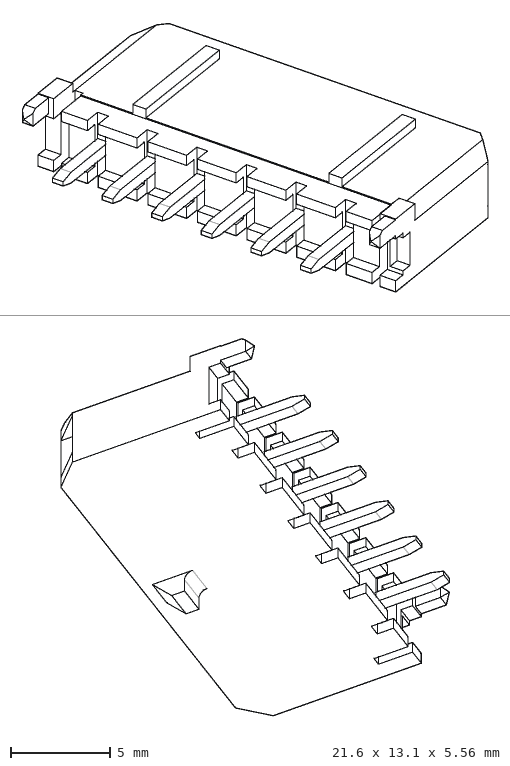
import cadquery as cq

half_width = 10.82
housing_length = 9.87
housing_height = 3.83
corner_size = 1.4
flange_thickness = 0.67
recess_top = housing_height - flange_thickness
recess_y = -9.2
side_width = 0.95
slope_drop = 0.48

step_y = -8.12
step_drop = 0.06
split_width = 0.48
split_y = -7.92
side_pocket_width = 0.78
side_pocket_bottom = 0.9
side_pocket_top = 2.88
side_pocket_depth = 0.65

pin_count = 6
pin_span = 15.0
pin_pitch = pin_span / (pin_count - 1)
pin_size = 0.65
pin_slot_y = -8.94
pin_center_z = 1.88
pin_end_y = -13.07
pin_taper_length = 0.71
pin_tip_height = 0.25

peg_block_top = 4.35
peg_width = 0.65
peg_top = 4.3
peg_bottom = 3.35
peg_tip_y = -11.65
peg_taper_length = 0.56
peg_point_length = 0.35

rib_width = 0.8
rib_centers = (-5.85, 6.02)
rib_top = peg_block_top
hook_width = 1.55
hook_drop = 1.21
hook_front_y = -0.65
hook_back_y = -2.49
hook_flat = 0.74
hook_fillet = 0.45


def block(x_range, y_range, z_range):
    """Axis-aligned box between the given limits."""
    limits = (x_range, y_range, z_range)
    size = [high - low for low, high in limits]
    corner = tuple(low for low, high in limits)
    return cq.Workplane("XY").box(*size, centered=False).translate(corner)


def side_profile(points, width, center_x):
    """Close a (y, z) outline and extrude it symmetrically about center_x."""
    profile = cq.Workplane("YZ").polyline(points).close()
    return profile.extrude(width / 2, both=True).translate((center_x, 0, 0))


def both_ends(shape):
    """Join a shape with its mirror image across the YZ plane."""
    return shape.union(shape.mirror("YZ"))


def make_housing():
    section = [
        (-half_width, 0),
        (half_width, 0),
        (half_width, housing_height - slope_drop),
        (half_width - side_width, housing_height),
        (-half_width + side_width, housing_height),
        (-half_width, housing_height - slope_drop),
    ]
    body = cq.Workplane("XZ").polyline(section).close().extrude(housing_length)
    corner = [(-half_width, 0), (-half_width + corner_size, 0), (-half_width, -corner_size)]
    corner_cut = cq.Workplane("XY").polyline(corner).close().extrude(housing_height)
    notch = block(
        (-half_width, -half_width + corner_size), (-corner_size, 0), (flange_thickness, recess_top)
    )
    return body.cut(both_ends(corner_cut)).cut(both_ends(notch))


def make_peg_block():
    return block(
        (-half_width, -half_width + side_width), (-housing_length, step_y), (recess_top, peg_block_top)
    )


def cut_back_end(body):
    middle_half_width = half_width - side_width - split_width
    recess = block((-half_width, half_width), (-housing_length, recess_y), (flange_thickness, recess_top))
    step = block(
        (-middle_half_width, middle_half_width),
        (-housing_length, step_y),
        (housing_height - step_drop, housing_height),
    )
    split = block(
        (-half_width + side_width, -middle_half_width), (-housing_length, split_y), (0, housing_height)
    )
    side_pocket = block(
        (half_width - side_pocket_width, half_width),
        (recess_y, recess_y + side_pocket_depth),
        (side_pocket_bottom, side_pocket_top),
    )
    return body.cut(recess).cut(step).cut(both_ends(split)).cut(side_pocket)


def make_pin(center_x):
    taper_y = pin_end_y + pin_taper_length
    outline = [
        (pin_slot_y, pin_center_z + pin_size / 2),
        (taper_y, pin_center_z + pin_size / 2),
        (pin_end_y, pin_center_z + pin_tip_height / 2),
        (pin_end_y, pin_center_z - pin_tip_height / 2),
        (taper_y, pin_center_z - pin_size / 2),
        (pin_slot_y, pin_center_z - pin_size / 2),
    ]
    return side_profile(outline, pin_size, center_x)


def make_peg():
    peg_center_x = -half_width + peg_width / 2
    point_y = peg_tip_y + peg_point_length
    outline = [
        (-housing_length, peg_bottom),
        (-housing_length, peg_top),
        (peg_tip_y + peg_taper_length, peg_top),
        (peg_tip_y, (peg_top + peg_bottom) / 2),
        (point_y, peg_bottom),
    ]
    plan = [
        (-half_width, -housing_length),
        (-half_width, point_y),
        (peg_center_x, peg_tip_y),
        (-half_width + peg_width, point_y),
        (-half_width + peg_width, -housing_length),
    ]
    prism = cq.Workplane("XY").polyline(plan).close().extrude(peg_top)
    return side_profile(outline, peg_width, peg_center_x).intersect(prism)


def make_hook():
    outline = (
        cq.Workplane("YZ")
        .moveTo(hook_front_y, 0)
        .lineTo(hook_back_y + hook_flat, -hook_drop)
        .lineTo(hook_back_y, -hook_drop)
        .lineTo(hook_back_y, -hook_fillet)
        .radiusArc((hook_back_y - hook_fillet, 0), -hook_fillet)
        .close()
    )
    return outline.extrude(hook_width / 2, both=True)


result = cut_back_end(make_housing().union(both_ends(make_peg_block())))
result = result.union(both_ends(make_peg())).union(make_hook())

for rib_x in rib_centers:
    result = result.union(
        block(
            (rib_x - rib_width / 2, rib_x + rib_width / 2),
            (step_y, -corner_size),
            (housing_height, rib_top),
        )
    )

for index in range(pin_count):
    pin_x = (index - (pin_count - 1) / 2) * pin_pitch
    pin_slot = block(
        (pin_x - pin_size / 2, pin_x + pin_size / 2), (-housing_length, pin_slot_y), (0, housing_height)
    )
    result = result.cut(pin_slot).union(make_pin(pin_x))